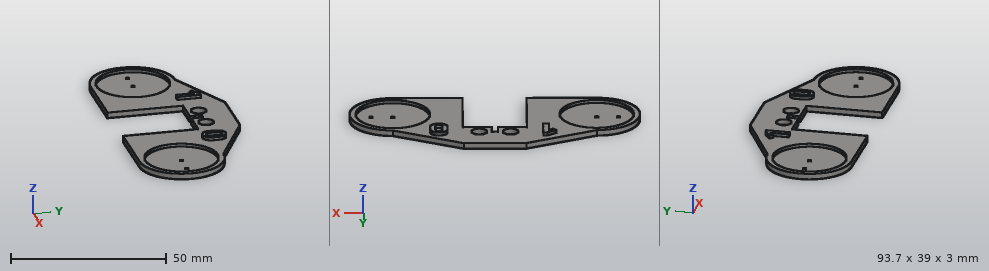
import cadquery as cq

length = 93.7
width = 39.0
thickness = 2.0
digit_height = 1.0

lobe_radius = 14.0
lobe_x = length / 2 - lobe_radius
pocket_diameter = 24.0
pocket_depth = 1.0
pin_hole_diameter = 1.0
pin_hole_spacing = 7.0

bridge_top_half = 10.0
opening_width = 20.6
opening_height = 25.0
slot_width = 2.0
slot_top = 29.0
bridge_hole_diameter = 5.0
bridge_hole_x = 5.1

digit_bottom = 24.55
digit_top = 32.3
one_right = -15.6
one_stem_left = -17.4
one_flag_start = -16.9
one_tip = (-19.8, 30.3)
one_tip_lower = (-18.6, 29.2)
one_notch_y = 30.45
zero_x = 18.1
zero_width = 5.6
zero_hole_width = 2.3
zero_hole_height = 5.4


def make_plate():
    """Plate with a lobe at each end and sloped shoulders up to the bridge."""
    return (
        cq.Workplane("XY")
        .moveTo(-lobe_x, 0)
        .lineTo(lobe_x, 0)
        .threePointArc((lobe_x + lobe_radius, lobe_radius), (lobe_x, 2 * lobe_radius))
        .lineTo(bridge_top_half, width)
        .lineTo(-bridge_top_half, width)
        .lineTo(-lobe_x, 2 * lobe_radius)
        .threePointArc((-lobe_x - lobe_radius, lobe_radius), (-lobe_x, 0))
        .close()
        .extrude(thickness)
    )


def open_notch(notch_width, top):
    """Centred rectangular cutter from the lower edge up to the given Y."""
    return cq.Workplane("XY").rect(notch_width, 2 * top).extrude(thickness)


def through_holes(points, diameter):
    return cq.Workplane("XY").pushPoints(points).circle(diameter / 2).extrude(thickness)


def make_pockets():
    return (
        cq.Workplane("XY")
        .workplane(offset=thickness - pocket_depth)
        .pushPoints([(-lobe_x, lobe_radius), (lobe_x, lobe_radius)])
        .circle(pocket_diameter / 2)
        .extrude(pocket_depth)
    )


def make_one():
    return (
        cq.Workplane("XY")
        .workplane(offset=thickness)
        .polyline([
            (one_right, digit_bottom),
            (one_right, digit_top),
            (one_flag_start, digit_top),
            one_tip,
            one_tip_lower,
            (one_stem_left, one_notch_y),
            (one_stem_left, digit_bottom),
        ])
        .close()
        .extrude(digit_height)
    )


def make_zero():
    """Rounded ring standing on the top face."""
    ring = (
        cq.Workplane("XY")
        .workplane(offset=thickness)
        .center(zero_x, (digit_bottom + digit_top) / 2)
    )
    outer = ring.slot2D(digit_top - digit_bottom, zero_width, 90).extrude(digit_height)
    inner = ring.slot2D(zero_hole_height, zero_hole_width, 90).extrude(digit_height)
    return outer.cut(inner)


pin_hole_points = [
    (side * x, lobe_radius)
    for side in (-1, 1)
    for x in (lobe_x, lobe_x + pin_hole_spacing)
]
bridge_hole_points = [(-bridge_hole_x, slot_top), (bridge_hole_x, slot_top)]

result = (
    make_plate()
    .cut(open_notch(opening_width, opening_height))
    .cut(open_notch(slot_width, slot_top))
    .cut(make_pockets())
    .cut(through_holes(pin_hole_points, pin_hole_diameter))
    .cut(through_holes(bridge_hole_points, bridge_hole_diameter))
    .union(make_one())
    .union(make_zero())
)